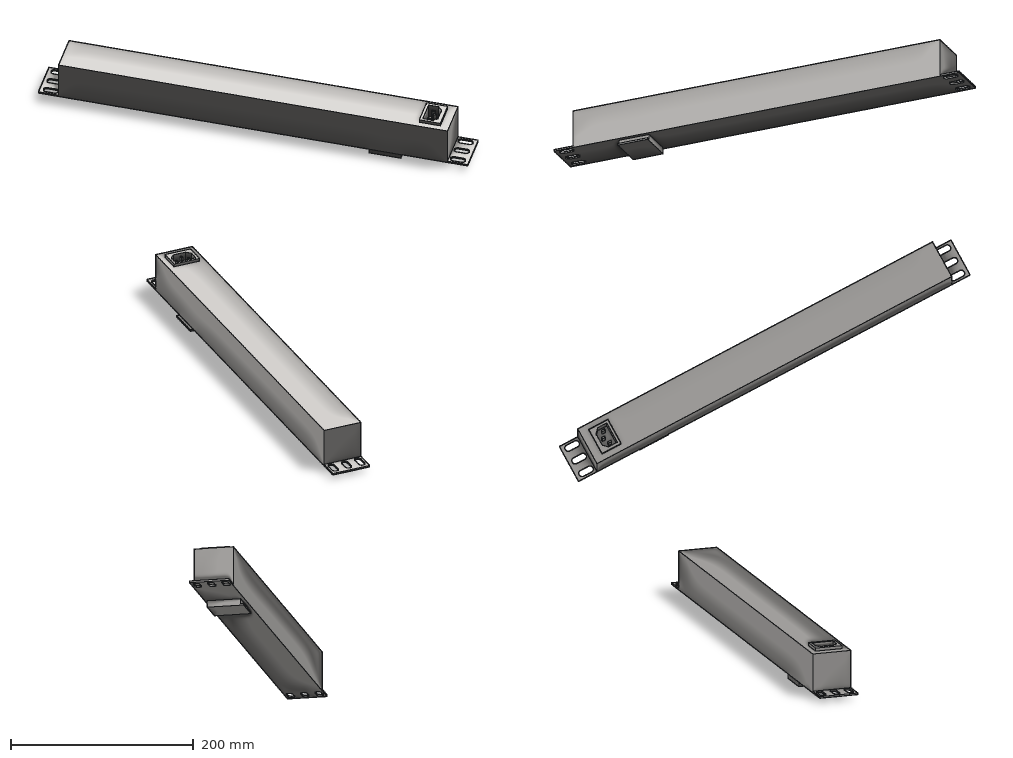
import cadquery as cq

length = 487.0
width = 44.5
body_length = 441.0
body_height = 44.5

ear_thickness = 2.0
slot_length = 17.0
slot_width = 7.5
slot_pitch = 16.0
slot_center_x = 231.0

inlet_x = 198.5
inlet_length = 24.0
inlet_width = 30.5
inlet_height = 3.5

socket_left = 190.0
socket_right = 206.0
socket_width = 24.5
socket_corner = 5.0
socket_depth = 15.5

pin_length = 4.0
pin_thickness = 2.0
outer_pin_recess = 3.0
earth_pin_recess = 1.5
outer_pin_x = 196.7
earth_pin_x = 200.5
outer_pin_offset = 7.5

block_left = 131.0
block_right = 167.0
block_front = -19.5
block_rear = 18.0
block_height = 7.5
lip_rear = 21.5
lip_thickness = 2.0

inlet_top = body_height + inlet_height


def box(x_min, x_max, y_min, y_max, z_min, z_max):
    """Axis-aligned box given by its limits."""
    size = (x_max - x_min, y_max - y_min, z_max - z_min)
    return cq.Workplane("XY").box(*size, centered=False).translate((x_min, y_min, z_min))


def make_body():
    """Closed housing on a base plate whose ends form the slotted ears."""
    slot_centers = [
        (side * slot_center_x, row * slot_pitch)
        for side in (-1, 1)
        for row in (-1, 0, 1)
    ]
    plate = (
        cq.Workplane("XY")
        .rect(length, width)
        .extrude(ear_thickness)
        .pushPoints(slot_centers)
        .slot2D(slot_length, slot_width)
        .cutThruAll()
    )
    housing = cq.Workplane("XY").rect(body_length, width).extrude(body_height)
    return plate.union(housing)


def make_inlet():
    """Raised rectangular frame of the power inlet."""
    return (
        cq.Workplane("XY", origin=(inlet_x, 0, body_height))
        .rect(inlet_length, inlet_width)
        .extrude(inlet_height)
    )


def make_socket():
    """Recess volume with the two corners on its +X side cut off."""
    half_width = socket_width / 2
    recess = box(socket_left, socket_right, -half_width, half_width, inlet_top - socket_depth, inlet_top)
    return recess.edges("|Z and >X").chamfer(socket_corner)


def make_pin(center_x, center_y, recess):
    """Contact rising from the socket floor to a tip set below the inlet face."""
    return (
        cq.Workplane("XY", origin=(center_x, center_y, inlet_top - socket_depth))
        .rect(pin_length, pin_thickness)
        .extrude(socket_depth - recess)
    )


def make_pins():
    """Two outer contacts and the longer earth contact between them."""
    pins = make_pin(earth_pin_x, 0, earth_pin_recess)
    for side in (-1, 1):
        pins = pins.union(make_pin(outer_pin_x, side * outer_pin_offset, outer_pin_recess))
    return pins


def make_block():
    """Block under the body together with its rear lip."""
    block = box(block_left, block_right, block_front, block_rear, -block_height, 0)
    lip = box(block_left, block_right, block_rear, lip_rear, -block_height, lip_thickness - block_height)
    return block.union(lip)


result = (
    make_body()
    .union(make_inlet())
    .cut(make_socket())
    .union(make_pins())
    .union(make_block())
)